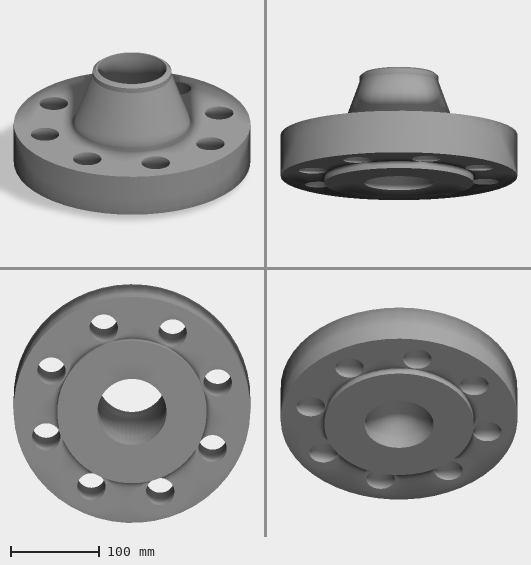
import cadquery as cq
import math

flange_diameter = 266.5
flange_thickness = 47.7

raised_face_diameter = 168.2
raised_face_height = 8.0

total_height = 125.3
hub_base_diameter = 133.5
hub_base_fillet = 2.7
neck_diameter = 88.8
neck_length = 8.5
weld_land_diameter = 81.0
weld_bevel_angle = 37.5

bore_diameter = 77.9
bolt_circle_diameter = 203.2
bolt_hole_diameter = 32.0
bolt_hole_count = 8

flange_bottom = raised_face_height
flange_top = flange_bottom + flange_thickness
neck_bottom = total_height - neck_length
bevel_width = (neck_diameter - weld_land_diameter) / 2
bevel_bottom = total_height - bevel_width * math.tan(math.radians(weld_bevel_angle))


def make_body():
    """Revolve the solid outline of raised face, disc, hub and weld neck."""
    outline = (
        cq.Workplane("XZ")
        .moveTo(0, 0)
        .lineTo(raised_face_diameter / 2, 0)
        .lineTo(raised_face_diameter / 2, flange_bottom)
        .lineTo(flange_diameter / 2, flange_bottom)
        .lineTo(flange_diameter / 2, flange_top)
        .lineTo(hub_base_diameter / 2, flange_top)
        .lineTo(neck_diameter / 2, neck_bottom)
        .lineTo(neck_diameter / 2, bevel_bottom)
        .lineTo(weld_land_diameter / 2, total_height)
        .lineTo(0, total_height)
        .close()
    )
    return outline.revolve(360, (0, 0, 0), (0, 1, 0))


def fillet_hub_base(body):
    """Round the inside corner where the hub meets the disc."""
    reach = hub_base_diameter / 2 + hub_base_fillet
    margin = hub_base_fillet / 2
    hub_base_edge = cq.selectors.BoxSelector(
        (-reach, -reach, flange_top - margin),
        (reach, reach, flange_top + margin),
        boundingbox=True,
    )
    return body.edges(hub_base_edge).fillet(hub_base_fillet)


def make_bore():
    return cq.Workplane("XY").circle(bore_diameter / 2).extrude(total_height)


def make_bolt_holes():
    return (
        cq.Workplane("XY")
        .workplane(offset=flange_bottom)
        .polarArray(bolt_circle_diameter / 2, 0, 360, bolt_hole_count)
        .circle(bolt_hole_diameter / 2)
        .extrude(flange_thickness)
    )


result = fillet_hub_base(make_body()).cut(make_bore()).cut(make_bolt_holes())